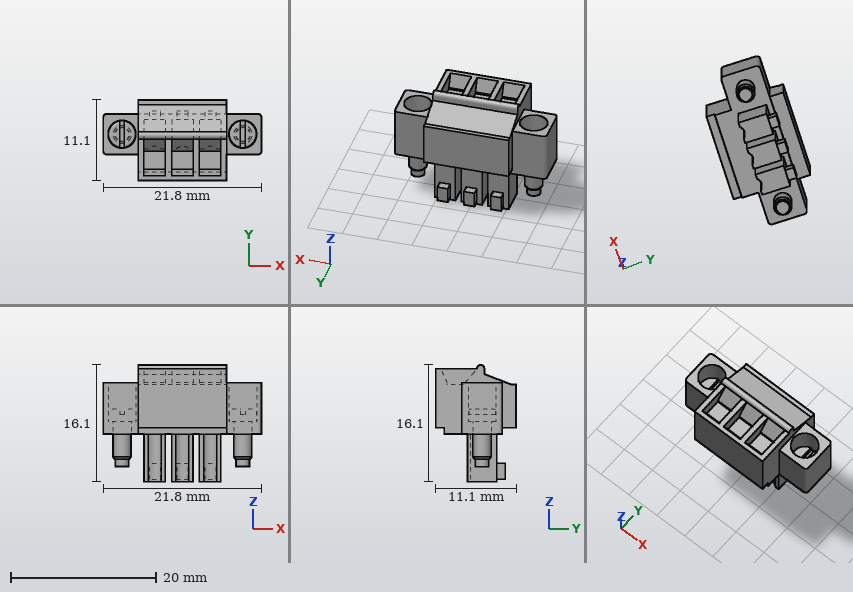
import cadquery as cq


overall_length = 21.82
body_length = 12.18
body_front = -6.4
body_back = 4.71
top_height = 9.01

step_height = 0.85
front_step_y = -5.2
shelf_height = 6.83
slope_foot_y = 4.05
slope_head_height = 8.27

bead_radius = 0.52
bead_y = -0.17

flange_depth = 5.6
flange_height = 7.1
flange_corner_radius = 0.5

pole_count = 3
pole_pitch = 3.82
pole_width = 3.0

funnel_back_y = -0.7
funnel_front_y = -5.7
well_back_y = -2.33
well_front_y = -4.85
well_top_height = 7.15
well_floor_height = 6.9

tongue_drop = 6.57
tongue_front = -2.0
tongue_back = 2.05
groove_width = 1.8
groove_depth = 0.4
nub_width = 1.5
nub_back = 3.23
nub_top = -4.0
nub_bottom = -6.22

screw_spacing = 16.63
head_bore_diameter = 3.85
head_diameter = 3.75
head_seat_height = 1.75
head_height = 1.75
head_round = 0.33
slot_width = 0.65
slot_depth = 0.76
shank_diameter = 2.5
shank_end = -3.15
shoulder_diameter = 2.03
shoulder_end = -3.45
tip_diameter = 1.88
tip_end = -4.47

flange_back = flange_depth / 2
pole_positions = [(i - (pole_count - 1) / 2) * pole_pitch for i in range(pole_count)]
screw_positions = [-screw_spacing / 2, screw_spacing / 2]


def yz_prism(width, x_center):
    """Sketch plane facing +X whose extrusion of the given width is centred on x_center."""
    return cq.Workplane("YZ", origin=(x_center - width / 2, 0, 0))


def make_body():
    return (
        yz_prism(body_length, 0)
        .moveTo(body_front, top_height)
        .lineTo(bead_y - bead_radius, top_height)
        .threePointArc((bead_y, top_height + bead_radius), (bead_y + bead_radius, top_height))
        .lineTo(bead_y + bead_radius, slope_head_height)
        .lineTo(slope_foot_y, shelf_height)
        .lineTo(body_back, shelf_height)
        .lineTo(body_back, step_height)
        .lineTo(flange_back, step_height)
        .lineTo(flange_back, 0)
        .lineTo(front_step_y, 0)
        .lineTo(front_step_y, step_height)
        .lineTo(body_front, step_height)
        .close()
        .extrude(body_length)
    )


def make_flanges():
    """Bar running through the body; its two ends form the flanges."""
    return (
        cq.Workplane("XY")
        .rect(overall_length, flange_depth)
        .extrude(flange_height)
        .edges("|Z")
        .fillet(flange_corner_radius)
    )


def make_tongue(x_center):
    """Contact tongue with a round groove down its front and a keying nub on its back."""
    half_width = pole_width / 2
    half_groove = groove_width / 2
    tongue = (
        cq.Workplane("XY", origin=(x_center, 0, -tongue_drop))
        .moveTo(-half_width, tongue_front)
        .lineTo(-half_groove, tongue_front)
        .threePointArc((0, tongue_front + groove_depth), (half_groove, tongue_front))
        .lineTo(half_width, tongue_front)
        .lineTo(half_width, tongue_back)
        .lineTo(-half_width, tongue_back)
        .close()
        .extrude(tongue_drop)
    )
    nub = cq.Workplane("XY").box(
        nub_width, nub_back - tongue_back, nub_top - nub_bottom, centered=(True, False, False)
    )
    return tongue.union(nub.translate((x_center, tongue_back, nub_bottom)))


def make_funnel(x_center):
    """Pocket with sloping front and back walls above a short straight well."""
    return (
        yz_prism(pole_width, x_center)
        .moveTo(funnel_back_y, top_height)
        .lineTo(well_back_y, well_top_height)
        .lineTo(well_back_y, well_floor_height)
        .lineTo(well_front_y, well_floor_height)
        .lineTo(well_front_y, well_top_height)
        .lineTo(funnel_front_y, top_height)
        .close()
        .extrude(pole_width)
    )


def make_screw_hole(x_center):
    """Through hole for the shank with a counterbore that clears the head."""
    shank_hole = cq.Workplane("XY").circle(shank_diameter / 2).extrude(flange_height)
    counterbore = (
        cq.Workplane("XY", origin=(0, 0, head_seat_height))
        .circle(head_bore_diameter / 2)
        .extrude(flange_height - head_seat_height)
    )
    return shank_hole.union(counterbore).translate((x_center, 0, 0))


def make_housing():
    housing = make_body().union(make_flanges())
    for x_center in pole_positions:
        housing = housing.union(make_tongue(x_center)).cut(make_funnel(x_center))
    for x_center in screw_positions:
        housing = housing.cut(make_screw_hole(x_center))
    return housing.solids().val()


def make_screw(x_center):
    """Slotted screw: rounded head, plain shank, tapered shoulder and thinner tip."""
    head_top = head_seat_height + head_height
    head = (
        cq.Workplane("XY", origin=(0, 0, head_seat_height))
        .circle(head_diameter / 2)
        .extrude(head_height)
        .faces(">Z")
        .edges()
        .fillet(head_round)
    )
    slot = (
        cq.Workplane("XY", origin=(0, 0, head_top - slot_depth))
        .rect(slot_width, head_diameter)
        .extrude(slot_depth)
    )
    shaft = (
        cq.Workplane("XZ")
        .moveTo(0, head_seat_height)
        .lineTo(shank_diameter / 2, head_seat_height)
        .lineTo(shank_diameter / 2, shank_end)
        .lineTo(shoulder_diameter / 2, shoulder_end)
        .lineTo(tip_diameter / 2, shoulder_end)
        .lineTo(tip_diameter / 2, tip_end)
        .lineTo(0, tip_end)
        .close()
        .revolve(360, (0, 0, 0), (0, 1, 0))
    )
    screw = head.cut(slot).union(shaft).translate((x_center, 0, 0))
    return screw.solids().val()


housing = make_housing()
screws = [make_screw(x_center) for x_center in screw_positions]

result = cq.Compound.makeCompound([housing, *screws])